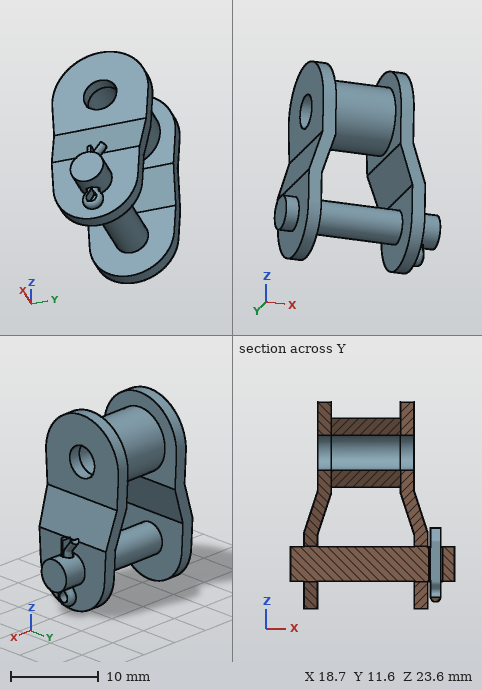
import cadquery as cq
import math

total_height = 23.6
pitch = 12.7
head_radius = 11.6 / 2
foot_radius = total_height - pitch - head_radius

roller_length = 7.89
plate_thickness = 1.55
crank_offset = plate_thickness
lower_bend_z = 3.6
upper_bend_z = 8.33
upper_inner_x = roller_length / 2
lower_inner_x = upper_inner_x + crank_offset
lower_outer_x = lower_inner_x + plate_thickness

bore_diameter = 3.97
roller_diameter = 7.9
pin_length = 18.7
pin_short_overhang = 1.53
pin_start_x = -lower_outer_x - pin_short_overhang

cotter_x = 7.95
cotter_hole_diameter = 1.5
wire_radius = 0.6
leg_y = 0.07
front_leg_top_z = 3.9
rear_leg_top_z = 4.13
rear_leg_top_y = 1.15
splay_angle = math.radians(38)
flare_angle = math.radians(35)
bend_radius = 0.65
eye_radius = 0.61
eye_center_z = -3.15


def plate_outline():
    """Side outline: two end arcs joined by their common tangents."""
    tangent_sine = (head_radius - foot_radius) / pitch
    tangent_cosine = math.sqrt(1 - tangent_sine**2)
    head_y = head_radius * tangent_cosine
    head_z = pitch - head_radius * tangent_sine
    foot_y = foot_radius * tangent_cosine
    foot_z = -foot_radius * tangent_sine
    return (
        cq.Workplane("YZ")
        .moveTo(foot_y, foot_z)
        .lineTo(head_y, head_z)
        .threePointArc((0, pitch + head_radius), (-head_y, head_z))
        .lineTo(-foot_y, foot_z)
        .threePointArc((0, -foot_radius), (foot_y, foot_z))
        .close()
        .extrude(lower_outer_x)
    )


def make_plate(side):
    """Constant-thickness cranked strip cut to the outline; side is 1 for +X, -1 for -X."""
    bend_half_angle = math.atan2(crank_offset, upper_bend_z - lower_bend_z) / 2
    bend_shift = plate_thickness * math.tan(bend_half_angle)
    plate_bottom_z = -foot_radius
    plate_top_z = pitch + head_radius
    upper_outer_x = upper_inner_x + plate_thickness
    strip = (
        cq.Workplane("XZ")
        .polyline([
            (lower_inner_x, plate_bottom_z),
            (lower_outer_x, plate_bottom_z),
            (lower_outer_x, lower_bend_z),
            (upper_outer_x, upper_bend_z),
            (upper_outer_x, plate_top_z),
            (upper_inner_x, plate_top_z),
            (upper_inner_x, upper_bend_z - bend_shift),
            (lower_inner_x, lower_bend_z - bend_shift),
        ])
        .close()
        .extrude(head_radius, both=True)
    )
    bores = (
        cq.Workplane("YZ")
        .pushPoints([(0, 0), (0, pitch)])
        .circle(bore_diameter / 2)
        .extrude(lower_outer_x)
    )
    plate = strip.intersect(plate_outline()).cut(bores)
    return plate if side > 0 else plate.mirror("YZ")


def make_roller():
    return (
        cq.Workplane("YZ", origin=(-roller_length / 2, 0, pitch))
        .circle(roller_diameter / 2)
        .circle(bore_diameter / 2)
        .extrude(roller_length)
    )


def make_pin():
    pin = (
        cq.Workplane("YZ", origin=(pin_start_x, 0, 0))
        .circle(bore_diameter / 2)
        .extrude(pin_length)
    )
    cotter_hole = (
        cq.Workplane("XY", origin=(cotter_x, 0, 0))
        .circle(cotter_hole_diameter / 2)
        .extrude(bore_diameter, both=True)
    )
    return pin.cut(cotter_hole)


def arc_point(center_y, center_z, radius, angle):
    return (center_y + radius * math.cos(angle), center_z + radius * math.sin(angle))


def make_cotter():
    """Half-round wire swept down the front leg, around the eye and up the rear leg."""
    eye_start_y = eye_radius * math.cos(flare_angle)
    eye_start_z = eye_center_z + eye_radius * math.sin(flare_angle)

    bend_center_y = leg_y + bend_radius
    flare_end_y = bend_center_y - bend_radius * math.cos(flare_angle)
    flare_end_z = eye_start_z + (eye_start_y - flare_end_y) / math.tan(flare_angle)
    flare_center_z = flare_end_z + bend_radius * math.sin(flare_angle)
    flare_mid_y, flare_mid_z = arc_point(
        bend_center_y, flare_center_z, bend_radius, math.pi + flare_angle / 2)

    splay_end_y = bend_center_y - bend_radius * math.cos(splay_angle)
    splay_end_z = rear_leg_top_z - (rear_leg_top_y - splay_end_y) / math.tan(splay_angle)
    splay_start_z = splay_end_z - bend_radius * math.sin(splay_angle)
    splay_mid = arc_point(
        bend_center_y, splay_start_z, bend_radius, math.pi - splay_angle / 2)

    path = (
        cq.Workplane("YZ", origin=(cotter_x, 0, 0))
        .moveTo(-leg_y, front_leg_top_z)
        .lineTo(-leg_y, flare_center_z)
        .threePointArc((-flare_mid_y, flare_mid_z), (-flare_end_y, flare_end_z))
        .lineTo(-eye_start_y, eye_start_z)
        .threePointArc((0, eye_center_z - eye_radius), (eye_start_y, eye_start_z))
        .lineTo(flare_end_y, flare_end_z)
        .threePointArc((flare_mid_y, flare_mid_z), (leg_y, flare_center_z))
        .lineTo(leg_y, splay_start_z)
        .threePointArc(splay_mid, (splay_end_y, splay_end_z))
        .lineTo(rear_leg_top_y, rear_leg_top_z)
    )
    return (
        cq.Workplane("XY", origin=(cotter_x, -leg_y, front_leg_top_z))
        .moveTo(-wire_radius, 0)
        .threePointArc((0, -wire_radius), (wire_radius, 0))
        .close()
        .sweep(path)
    )


plates = []
for side in (1, -1):
    plates.append(make_plate(side).val())
roller = make_roller()
pin = make_pin()
cotter = make_cotter()

result = cq.Compound.makeCompound([*plates, roller.val(), pin.val(), cotter.val()])